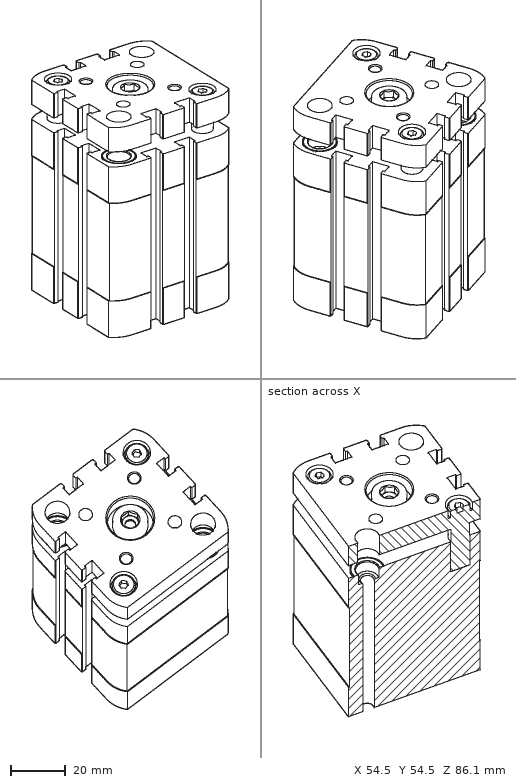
import cadquery as cq
import math


WIDTH = 54.5
HEIGHT = 86.1
PLATE_THICKNESS = 10.0
HOUSING_HEIGHT = 70.0
CAP_HEIGHT = 15.0
UPPER_CAP_BOTTOM = HOUSING_HEIGHT - CAP_HEIGHT
BARREL_INSET = 0.3
PLATE_BOTTOM = HEIGHT - PLATE_THICKNESS
HALF_WIDTH = WIDTH / 2

SIDE_FLAT_HALF = 19.1
CORNER_RADIUS = 12.0
CORNER_ARC_END_Y = 26.7
FRONT_FLAT_HALF = 24.0

SLOT_OFFSET = 7.6
SLOT_OPENING = 5.3
SLOT_INNER_WIDTH = 6.8
SLOT_LIP_DEPTH = 2.0
SLOT_DEPTH = 5.5
SLOT_EDGE_CHAMFER = 0.3
SLOT_SIDE_ANGLES = (0, 90, -90)

CORNER_OFFSET = 18.9
GUIDE_ROD_DIAMETER = 8.0
GUIDE_RECESS_DIAMETER = 10.0
GUIDE_RECESS_DEPTH = 4.0
GUIDE_HEAD_DIAMETER = 8.5
GUIDE_HEAD_SINK = 0.5
GUIDE_HEAD_CHAMFER = 0.5
GUIDE_SOCKET_FLATS = 3.0
GUIDE_SOCKET_DEPTH = 2.2
GUIDE_SOCKET_TURN = 15

PISTON_ROD_DIAMETER = 12.0
WRENCH_FLATS = 10.0
WRENCH_FLAT_LENGTH = 4.7
WRENCH_RUNOUT_HEIGHT = 0.9
CENTER_RECESS_DIAMETER = 17.0
CENTER_RECESS_DEPTH = 6.0
CENTER_RECESS_CHAMFER = 0.5
CENTER_HEAD_DIAMETER = 13.0
CENTER_HEAD_SINK = 1.2
CENTER_HEAD_TOP = HEIGHT - CENTER_HEAD_SINK
CENTER_HEAD_ROUNDING = 0.8
CENTER_SOCKET_FLATS = 6.0
CENTER_SOCKET_DEPTH = 3.0
CENTER_SOCKET_ENTRY_DIAMETER = 7.15
CENTER_DRILL_DIAMETER = 4.0
CENTER_DRILL_DEPTH = 2.0

ROD_BOTTOM = UPPER_CAP_BOTTOM

SMALL_HOLE_OFFSET = 11.6
PIN_HOLE_DIAMETER = 5.0
THREAD_HOLE_DIAMETER = 4.1
THREAD_HOLE_CHAMFER = 0.4

ACCESS_HOLE_DIAMETER = 9.0
SCREW_SEAT_DIAMETER = 12.8
SCREW_HEAD_CHAMFER = 0.4
SCREW_BORE_DIAMETER = 8.5
SCREW_BORE_CHAMFER = 0.35
SCREW_BORE_DEPTH = 5.0
SCREW_HOLE_DIAMETER = 5.0
SCREW_HOLE_CHAMFER = 0.5

GUIDE_POINTS = [(CORNER_OFFSET, CORNER_OFFSET), (-CORNER_OFFSET, -CORNER_OFFSET)]
SCREW_POINTS = [(-CORNER_OFFSET, CORNER_OFFSET), (CORNER_OFFSET, -CORNER_OFFSET)]
THREAD_POINTS = [(SMALL_HOLE_OFFSET, SMALL_HOLE_OFFSET), (-SMALL_HOLE_OFFSET, -SMALL_HOLE_OFFSET)]
PIN_POINTS = [(-SMALL_HOLE_OFFSET, SMALL_HOLE_OFFSET), (SMALL_HOLE_OFFSET, -SMALL_HOLE_OFFSET)]


def cylinder(points, diameter, bottom, top):
    """Upright cylinders of one diameter at the given XY points."""
    base = cq.Workplane("XY", origin=(0, 0, bottom)).pushPoints(points)
    return base.circle(diameter / 2).extrude(top - bottom)


def cone(points, lower_diameter, upper_diameter, bottom, top):
    """Upright cone frustums at the given XY points."""
    frustum = cq.Solid.makeCone(lower_diameter / 2, upper_diameter / 2, top - bottom)
    base = cq.Workplane("XY", origin=(0, 0, bottom)).pushPoints(points)
    return base.eachpoint(lambda place: frustum.moved(place))


def hexagon(point, flats, turn, bottom, top):
    """Upright hexagonal prism, sized across its flats and turned about its axis."""
    corner_diameter = flats / math.cos(math.pi / 6)
    prism = cq.Workplane("XY").polygon(6, corner_diameter).extrude(top - bottom)
    return prism.rotate((0, 0, 0), (0, 0, 1), turn).translate((*point, bottom))


def square_block(bottom, top, inset=0.0):
    """Square block with rounded corners, its whole outline moved in by the inset."""
    half_width = HALF_WIDTH - inset
    radius = CORNER_RADIUS - inset
    arc_center_x = half_width - radius

    def arc_point(y):
        return arc_center_x + math.sqrt(radius**2 - (y - SIDE_FLAT_HALF) ** 2), y

    arc_end_y = CORNER_ARC_END_Y - inset
    quarter = (
        cq.Workplane("XY", origin=(0, 0, bottom))
        .lineTo(half_width, 0)
        .lineTo(*arc_point(SIDE_FLAT_HALF))
        .threePointArc(arc_point((SIDE_FLAT_HALF + arc_end_y) / 2), arc_point(arc_end_y))
        .lineTo(FRONT_FLAT_HALF, half_width)
        .lineTo(0, half_width)
        .close()
        .extrude(top - bottom)
    )
    half = quarter.union(quarter.mirror("YZ"))
    return half.union(half.mirror("XZ")).clean()


def slot_cutters(bottom, top):
    """T-slots with chamfered openings, a pair on the -Y, +X and -X sides."""
    half_opening = SLOT_OPENING / 2
    half_inner = SLOT_INNER_WIDTH / 2
    lip = SLOT_LIP_DEPTH - HALF_WIDTH
    right_side = [
        (half_opening + SLOT_EDGE_CHAMFER, -HALF_WIDTH),
        (half_opening, SLOT_EDGE_CHAMFER - HALF_WIDTH),
        (half_opening, lip),
        (half_inner, lip),
        (half_inner, SLOT_DEPTH - HALF_WIDTH),
    ]
    left_side = [(-x, y) for x, y in reversed(right_side)]
    base = cq.Workplane("XY", origin=(0, 0, bottom))
    slot = base.polyline(right_side + left_side).close().extrude(top - bottom)
    pair = slot.translate((SLOT_OFFSET, 0, 0)).union(slot.translate((-SLOT_OFFSET, 0, 0)))
    cutters = cq.Workplane("XY")
    for angle in SLOT_SIDE_ANGLES:
        cutters = cutters.add(pair.rotate((0, 0, 0), (0, 0, 1), angle))
    return cutters.combine()


def housing_screw_cutters():
    """Hollow screw ends: a V-groove around the head, a stepped bore and a hole right through."""
    bore_bottom = HOUSING_HEIGHT - SCREW_BORE_DEPTH
    groove_bottom = HOUSING_HEIGHT - SCREW_HEAD_CHAMFER
    head_top_diameter = SCREW_SEAT_DIAMETER - 2 * SCREW_HEAD_CHAMFER
    groove = cylinder(SCREW_POINTS, SCREW_SEAT_DIAMETER, groove_bottom, HOUSING_HEIGHT).cut(
        cone(SCREW_POINTS, SCREW_SEAT_DIAMETER, head_top_diameter, groove_bottom, HOUSING_HEIGHT)
    )
    bore = cylinder(SCREW_POINTS, SCREW_BORE_DIAMETER, bore_bottom, HOUSING_HEIGHT)
    bore_entry = cone(
        SCREW_POINTS, SCREW_BORE_DIAMETER, SCREW_BORE_DIAMETER + 2 * SCREW_BORE_CHAMFER,
        HOUSING_HEIGHT - SCREW_BORE_CHAMFER, HOUSING_HEIGHT,
    )
    hole = cylinder(SCREW_POINTS, SCREW_HOLE_DIAMETER, 0, HOUSING_HEIGHT)
    hole_entry = cone(
        SCREW_POINTS, SCREW_HOLE_DIAMETER, SCREW_HOLE_DIAMETER + 2 * SCREW_HOLE_CHAMFER,
        bore_bottom - SCREW_HOLE_CHAMFER, bore_bottom,
    )
    return [groove, bore, bore_entry, hole, hole_entry]


def make_housing():
    """Two end caps and a slightly narrower barrel, with holes for the rods and screws."""
    housing = (
        square_block(0, CAP_HEIGHT)
        .union(square_block(CAP_HEIGHT, UPPER_CAP_BOTTOM, BARREL_INSET))
        .union(square_block(UPPER_CAP_BOTTOM, HOUSING_HEIGHT))
        .cut(slot_cutters(0, HOUSING_HEIGHT))
        .cut(cylinder(GUIDE_POINTS, GUIDE_ROD_DIAMETER, ROD_BOTTOM, HOUSING_HEIGHT))
        .cut(cylinder([(0, 0)], PISTON_ROD_DIAMETER, ROD_BOTTOM, HOUSING_HEIGHT))
    )
    for cutter in housing_screw_cutters():
        housing = housing.cut(cutter)
    return housing


def make_plate():
    """Yoke plate with its slots, access holes, small holes and screw recesses."""
    thread_entry_diameter = THREAD_HOLE_DIAMETER + 2 * THREAD_HOLE_CHAMFER
    thread_entry_bottom = HEIGHT - THREAD_HOLE_CHAMFER
    center_entry_diameter = CENTER_RECESS_DIAMETER + 2 * CENTER_RECESS_CHAMFER
    center = [(0, 0)]
    return (
        square_block(PLATE_BOTTOM, HEIGHT)
        .cut(slot_cutters(PLATE_BOTTOM, HEIGHT))
        .cut(cylinder(SCREW_POINTS, ACCESS_HOLE_DIAMETER, PLATE_BOTTOM, HEIGHT))
        .cut(cylinder(PIN_POINTS, PIN_HOLE_DIAMETER, PLATE_BOTTOM, HEIGHT))
        .cut(cylinder(THREAD_POINTS, THREAD_HOLE_DIAMETER, PLATE_BOTTOM, HEIGHT))
        .cut(cone(THREAD_POINTS, THREAD_HOLE_DIAMETER, thread_entry_diameter, thread_entry_bottom, HEIGHT))
        .cut(cylinder(GUIDE_POINTS, GUIDE_RECESS_DIAMETER, HEIGHT - GUIDE_RECESS_DEPTH, HEIGHT))
        .cut(cylinder(center, CENTER_RECESS_DIAMETER, HEIGHT - CENTER_RECESS_DEPTH, HEIGHT))
        .cut(cone(center, CENTER_RECESS_DIAMETER, center_entry_diameter, HEIGHT - CENTER_RECESS_CHAMFER, HEIGHT))
    )


def make_guide_rods():
    """Guide rods below the plate, and their chamfered socket heads in the plate recesses."""
    head_top = HEIGHT - GUIDE_HEAD_SINK
    heads = (
        cylinder(GUIDE_POINTS, GUIDE_HEAD_DIAMETER, HEIGHT - GUIDE_RECESS_DEPTH, head_top)
        .faces(">Z")
        .edges()
        .chamfer(GUIDE_HEAD_CHAMFER)
    )
    for point in GUIDE_POINTS:
        heads = heads.cut(
            hexagon(point, GUIDE_SOCKET_FLATS, GUIDE_SOCKET_TURN, head_top - GUIDE_SOCKET_DEPTH, head_top)
        )
    return cylinder(GUIDE_POINTS, GUIDE_ROD_DIAMETER, ROD_BOTTOM, PLATE_BOTTOM).union(heads)


def make_piston_rod():
    """Piston rod below the plate, with two wrench flats that run out in short slopes."""
    rod = cylinder([(0, 0)], PISTON_ROD_DIAMETER, ROD_BOTTOM, PLATE_BOTTOM)
    flat_y = WRENCH_FLATS / 2
    rod_radius = PISTON_ROD_DIAMETER / 2
    flat_bottom = PLATE_BOTTOM - WRENCH_FLAT_LENGTH
    flat_cutter = (
        cq.Workplane("YZ")
        .moveTo(flat_y, PLATE_BOTTOM)
        .lineTo(flat_y, flat_bottom)
        .lineTo(rod_radius, flat_bottom - WRENCH_RUNOUT_HEIGHT)
        .lineTo(rod_radius, PLATE_BOTTOM)
        .close()
        .extrude(rod_radius, both=True)
    )
    return rod.cut(flat_cutter).cut(flat_cutter.mirror("XZ"))


def make_center_head():
    """Round-edged screw head in the center recess."""
    head = cylinder([(0, 0)], CENTER_HEAD_DIAMETER, HEIGHT - CENTER_RECESS_DEPTH, CENTER_HEAD_TOP)
    return head.faces(">Z").edges().fillet(CENTER_HEAD_ROUNDING)


def center_socket_cutters():
    """Hexagon socket with a conical entry, a countersunk floor and a pointed drill hole."""
    socket_bottom = CENTER_HEAD_TOP - CENTER_SOCKET_DEPTH
    drill_bottom = socket_bottom - CENTER_DRILL_DEPTH
    entry_bottom = CENTER_HEAD_TOP - (CENTER_SOCKET_ENTRY_DIAMETER - CENTER_SOCKET_FLATS) / 2
    floor_depth = (CENTER_SOCKET_FLATS - CENTER_DRILL_DIAMETER) / 2
    point_depth = CENTER_DRILL_DIAMETER / 2
    axis = [(0, 0)]
    return [
        hexagon((0, 0), CENTER_SOCKET_FLATS, 0, socket_bottom, CENTER_HEAD_TOP),
        cone(axis, CENTER_SOCKET_FLATS, CENTER_SOCKET_ENTRY_DIAMETER, entry_bottom, CENTER_HEAD_TOP),
        cone(axis, CENTER_DRILL_DIAMETER, CENTER_SOCKET_FLATS, socket_bottom - floor_depth, socket_bottom),
        cylinder(axis, CENTER_DRILL_DIAMETER, drill_bottom, socket_bottom),
        cone(axis, 0, CENTER_DRILL_DIAMETER, drill_bottom - point_depth, drill_bottom),
    ]


def make_yoke():
    """Plate, guide rods and piston rod joined as one moving body."""
    yoke = make_plate().union(make_guide_rods()).union(make_piston_rod()).union(make_center_head())
    for cutter in center_socket_cutters():
        yoke = yoke.cut(cutter)
    return yoke


housing = make_housing()
yoke = make_yoke()
result = cq.Compound.makeCompound([housing.solids().val(), yoke.solids().val()])